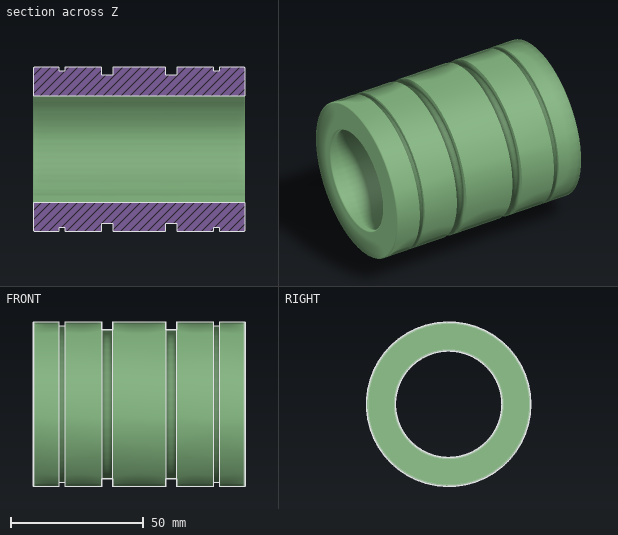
import cadquery as cq

length = 80.0
outer_diameter = 62.0
bore_diameter = 40.0
edge_radius = 0.5

end_groove_diameter = 59.0
end_groove_width = 2.15
end_groove_span = 60.3

inner_groove_diameter = 56.3
inner_groove_width = 4.1
middle_land_length = 20.0

end_groove_x = (end_groove_span - end_groove_width) / 2
inner_groove_x = (middle_land_length + inner_groove_width) / 2


def cylinder_along_x(diameter, width, centre_x):
    start_plane = cq.Workplane("YZ").workplane(offset=centre_x - width / 2)
    return start_plane.circle(diameter / 2).extrude(width)


def make_sleeve():
    """Plain tube with the outer and bore edges rounded at both ends."""
    body = cylinder_along_x(outer_diameter, length, 0)
    body = body.cut(cylinder_along_x(bore_diameter, length, 0))
    return body.faces("<X or >X").edges().fillet(edge_radius)


def groove_ring(floor_diameter, width, centre_x):
    """Ring of material removed by one groove around the outside."""
    ring = cylinder_along_x(outer_diameter, width, centre_x)
    return ring.cut(cylinder_along_x(floor_diameter, width, centre_x))


result = make_sleeve()
for side in (-1, 1):
    result = result.cut(groove_ring(end_groove_diameter, end_groove_width, side * end_groove_x))
    result = result.cut(groove_ring(inner_groove_diameter, inner_groove_width, side * inner_groove_x))